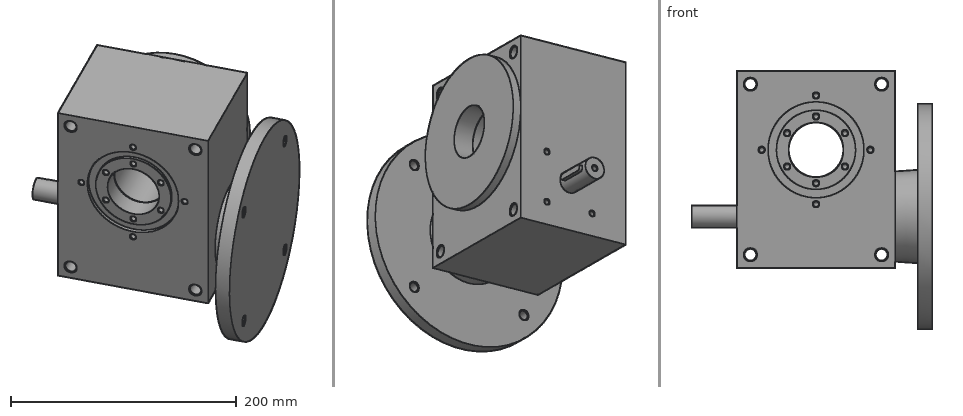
import cadquery as cq
import math


case_length = 140.0
case_front = 60.0
case_back = 52.0
case_depth = case_front + case_back
flange_diameter = 200.0
overall_height = 229
case_top = overall_height - flange_diameter / 2
case_height = 174.7

hub_disc_diameter = case_length
hub_disc_thickness = 8.0
hub_back = case_back + hub_disc_thickness
hub_x = case_length / 2
hub_z = case_top - hub_disc_diameter / 2
hub_sleeve_diameter = 70.0
hub_recess = 1.0
hub_front = case_front - hub_recess
hub_length = hub_front + hub_back
bore_diameter = 48
relief_diameter = 49.0
bore_land_length = 20.0
groove_diameter = 85.0
groove_depth = 4.0

neck_length = 20.0
neck_small_diameter = 80.2
neck_large_diameter = 83.0
flange_thickness = 13.0
flange_bolt_circle = 165.0
flange_hole_diameter = 8.5
flange_hole_mouth = 10.0

shaft_length = 40.0
shaft_diameter = 20.0
key_length = 30.0
key_width = 6.0
key_height = 13.0
key_end_gap = 5.0

corner_inset = 12.0
corner_hole_diameter = 10.3
corner_hole_mouth = 12.0

screw_hole_diameter = 4.8
screw_hole_mouth = 6.0
screw_hole_depth = 11.5
drill_point_angle = 118
case_bolt_circle = 96.2
case_screw_count = 4
hub_bolt_circle = 59.0
hub_screw_count = 6
shaft_side_spacing = 48

ALONG_X = cq.Vector(1, 0, 0)
ALONG_Y = cq.Vector(0, 1, 0)


def rod(diameter, length, start, direction):
    """Cylinder from a start point along a direction."""
    return cq.Workplane(cq.Solid.makeCylinder(diameter / 2, length, start, direction))


def mouth_chamfer(hole_diameter, mouth_diameter, start, direction):
    """45 degree cone that opens a hole out to its mouth diameter."""
    depth = (mouth_diameter - hole_diameter) / 2
    return cq.Workplane(
        cq.Solid.makeCone(mouth_diameter / 2, hole_diameter / 2, depth, start, direction)
    )


def screw_hole(start, direction):
    """Cutter for a blind screw hole with a chamfered mouth and a drill point."""
    radius = screw_hole_diameter / 2
    point_length = radius / math.tan(math.radians(drill_point_angle / 2))
    point_start = start + direction * screw_hole_depth
    point = cq.Solid.makeCone(radius, 0, point_length, point_start, direction)
    return (
        rod(screw_hole_diameter, screw_hole_depth, start, direction)
        .union(mouth_chamfer(screw_hole_diameter, screw_hole_mouth, start, direction))
        .union(cq.Workplane(point))
    )


def through_hole(diameter, mouth_diameter, length, start, direction):
    """Cutter for a through hole with a chamfer at both mouths."""
    end = start + direction * length
    return (
        rod(diameter, length, start, direction)
        .union(mouth_chamfer(diameter, mouth_diameter, start, direction))
        .union(mouth_chamfer(diameter, mouth_diameter, end, direction * -1))
    )


def hub_circle_points(circle_diameter, count, y):
    """Evenly spaced points around the hub axis at one Y, the first at the top."""
    points = []
    for index in range(count):
        angle = math.radians(90 + index * 360 / count)
        x = hub_x + circle_diameter / 2 * math.cos(angle)
        z = hub_z + circle_diameter / 2 * math.sin(angle)
        points.append(cq.Vector(x, y, z))
    return points


def make_case():
    """Gear case with the neck and the motor flange."""
    case = cq.Workplane("XY").box(case_length, case_depth, case_height, centered=False)
    case = case.translate((0, -case_front, case_top - case_height))

    neck = cq.Workplane(
        cq.Solid.makeCone(
            neck_small_diameter / 2,
            neck_large_diameter / 2,
            neck_length,
            cq.Vector(case_length, 0, 0),
            ALONG_X,
        )
    )
    flange_x = case_length + neck_length
    flange = rod(flange_diameter, flange_thickness, cq.Vector(flange_x, 0, 0), ALONG_X)
    case = case.union(neck).union(flange)

    seat_start = cq.Vector(hub_x, -case_front, hub_z)
    case = case.cut(rod(hub_sleeve_diameter, case_depth, seat_start, ALONG_Y))
    case = case.cut(rod(groove_diameter, groove_depth, seat_start, ALONG_Y))

    for x in (corner_inset, case_length - corner_inset):
        for z in (case_top - corner_inset, case_top - case_height + corner_inset):
            start = cq.Vector(x, -case_front, z)
            case = case.cut(
                through_hole(corner_hole_diameter, corner_hole_mouth, case_depth, start, ALONG_Y)
            )

    flange_hole_offset = flange_bolt_circle / 2 * math.sin(math.radians(45))
    for y in (-flange_hole_offset, flange_hole_offset):
        for z in (-flange_hole_offset, flange_hole_offset):
            start = cq.Vector(flange_x, y, z)
            case = case.cut(
                through_hole(flange_hole_diameter, flange_hole_mouth, flange_thickness, start, ALONG_X)
            )

    for start in hub_circle_points(case_bolt_circle, case_screw_count, -case_front):
        case = case.cut(screw_hole(start, ALONG_Y))

    for y in (-shaft_side_spacing / 2, shaft_side_spacing / 2):
        for z in (-shaft_side_spacing / 2, shaft_side_spacing / 2):
            case = case.cut(screw_hole(cq.Vector(0, y, z), ALONG_X))
    return case


def make_output_hub():
    """Hollow output hub: a sleeve through the case and a disc on the +Y face."""
    front = cq.Vector(hub_x, -hub_front, hub_z)
    sleeve = rod(hub_sleeve_diameter, hub_length, front, ALONG_Y)
    disc = rod(hub_disc_diameter, hub_disc_thickness, cq.Vector(hub_x, case_back, hub_z), ALONG_Y)
    hub = sleeve.union(disc)

    hub = hub.cut(rod(bore_diameter, hub_length, front, ALONG_Y))
    relief_length = hub_length - 2 * bore_land_length
    relief_start = front + ALONG_Y * bore_land_length
    hub = hub.cut(rod(relief_diameter, relief_length, relief_start, ALONG_Y))

    for start in hub_circle_points(hub_bolt_circle, hub_screw_count, -hub_front):
        hub = hub.cut(screw_hole(start, ALONG_Y))
    return hub


def make_input_shaft():
    """Input shaft with its round-ended key on the +Y side."""
    shaft_end = cq.Vector(-shaft_length, 0, 0)
    shaft = rod(shaft_diameter, shaft_length, shaft_end, ALONG_X)

    key_center_x = -shaft_length + key_end_gap + key_length / 2
    key = (
        cq.Workplane("XZ")
        .center(key_center_x, 0)
        .slot2D(key_length, key_width)
        .extrude(-key_height)
    )
    return shaft.union(key).cut(screw_hole(shaft_end, ALONG_X))


gear_case = make_case()
output_hub = make_output_hub()
input_shaft = make_input_shaft()

result = cq.Compound.makeCompound([gear_case.val(), output_hub.val(), input_shaft.val()])